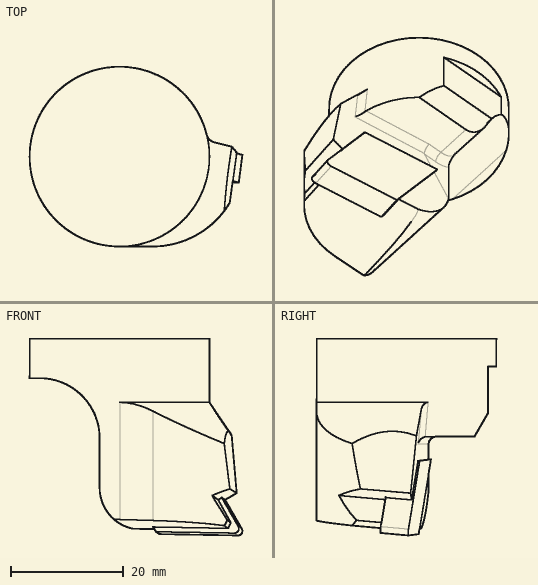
import cadquery as cq
import math

disc_radius = 32.0 / 2
disc_rim_depth = 4.95
reach = 45.45
plane_size = 4 * reach

neck_x = -3.55
neck_arc_radius = 10.6
neck_arc_z = -17.65
heel_z = -26.47
heel_radius = 7.5

block_y = 14.5
block_bottom = -17.42
block_chamfer_y = 2.42
block_chamfer_z = 4.2
block_round_top = -14.77
ledge_fillet = 1.4

head_shift = 5.87
head_back_y = 3.95
cone_top = -11.32
cone_slope = 0.68

tip = (22.45, 0.15, -35.03)
rake_slope_x = 0.13
rake_slope_z = 0.09
rake_plane = cq.Plane(
    origin=tip, xDir=(1, -rake_slope_x, 0), normal=(-rake_slope_x, -1, rake_slope_z)
)
insert_side = 15.5
insert_angle = 58.5
insert_tilt = 1.0
insert_thickness = 5.0
nose_radius = 0.8
insert_stand_out = 0.3

end_face_point = (19.55, -5.68, -22.72)
end_face_slope_y = 0.13
end_face_slope_z = -0.1

sole_offset = 0.87
notch_corner = (-4.4, 6.0)
notch_outer = (-1.4, 7.73)
toe_top = (-2.1, 1.9)
toe_bottom = (-2.55, sole_offset)
notch_overrun = 5


def side_profile():
    """Space to the +X side of the hollow arc, neck flat and heel."""
    arc_x = neck_x - neck_arc_radius
    arc_top = neck_arc_z + neck_arc_radius
    diagonal = math.sqrt(0.5)
    arc_middle = (arc_x + neck_arc_radius * diagonal, neck_arc_z + neck_arc_radius * diagonal)
    heel_x = neck_x + heel_radius
    heel_middle = (heel_x - heel_radius * diagonal, heel_z - heel_radius * diagonal)
    return (
        cq.Workplane("XZ")
        .moveTo(-reach, 0)
        .lineTo(-reach, arc_top)
        .lineTo(arc_x, arc_top)
        .threePointArc(arc_middle, (neck_x, neck_arc_z))
        .lineTo(neck_x, heel_z)
        .threePointArc(heel_middle, (heel_x, heel_z - heel_radius))
        .lineTo(heel_x, -reach)
        .lineTo(reach, -reach)
        .lineTo(reach, 0)
        .close()
        .extrude(reach, both=True)
    )


def make_disc_and_block():
    """Round disc with the stepped, chamfered block below it."""
    outline = (
        cq.Workplane("YZ")
        .polyline([
            (-reach, 0),
            (reach, 0),
            (reach, -disc_rim_depth),
            (block_y, -disc_rim_depth),
            (block_y, block_bottom + block_chamfer_z),
            (block_y - block_chamfer_y, block_bottom),
            (-reach, block_bottom),
        ])
        .close()
        .extrude(reach, both=True)
    )
    round_bar = cq.Workplane("XY").circle(disc_radius).extrude(block_bottom)
    arc_x = neck_x - neck_arc_radius
    tangent_sine = (block_round_top - neck_arc_z) / neck_arc_radius
    tangent_angle = math.asin(tangent_sine)
    start_x = arc_x + neck_arc_radius * math.cos(tangent_angle)
    round_radius = (block_round_top - block_bottom) / (1 - tangent_sine)
    end_x = start_x + round_radius * math.cos(tangent_angle)
    corner = (
        cq.Workplane("XZ")
        .moveTo(start_x, block_round_top)
        .radiusArc((end_x, block_bottom), -round_radius)
        .lineTo(-reach, block_bottom)
        .lineTo(-reach, block_round_top)
        .close()
        .extrude(reach, both=True)
    )
    return round_bar.intersect(outline).cut(corner)


def rake_half_space():
    """Everything on the body side of the back of the head."""
    return (
        cq.Workplane(rake_plane)
        .workplane(offset=insert_stand_out)
        .rect(plane_size, plane_size)
        .extrude(2 * reach)
    )


def end_face_half_space():
    """Everything to the -X side of the inclined end face."""
    normal = (-1, end_face_slope_y, end_face_slope_z)
    plane = cq.Plane(origin=end_face_point, xDir=(0, end_face_slope_z, -end_face_slope_y), normal=normal)
    return cq.Workplane(plane).rect(plane_size, plane_size).extrude(2 * reach)


def make_head():
    """Head: two equal rounds joined by flats, under a cone that widens downward."""
    head = cq.Workplane("XY").circle(disc_radius).extrude(-reach)
    head = head.union(cq.Workplane("XY").center(head_shift, 0).circle(disc_radius).extrude(-reach))
    head = head.union(
        cq.Workplane("XY").center(head_shift / 2, 0).rect(head_shift, 2 * disc_radius).extrude(-reach)
    )
    cone_radius = disc_radius + cone_slope * (reach + cone_top)
    cone = (
        cq.Workplane("XZ")
        .polyline([
            (0, 0),
            (disc_radius, 0),
            (disc_radius, cone_top),
            (cone_radius, -reach),
            (0, -reach),
        ])
        .close()
        .revolve(360, (0, 0), (0, 1))
    )
    front = cq.Workplane("XY").box(2 * reach, reach, 2 * reach)
    front = front.translate((0, head_back_y - reach / 2, 0))
    return head.intersect(cone).intersect(front).intersect(rake_half_space()).intersect(end_face_half_space())


def toe_cut():
    """Sole, toe and notch, all cut straight along the tool frame's depth."""
    rise = math.tan(math.radians(insert_tilt))
    return (
        cq.Workplane(rake_plane)
        .workplane(offset=-reach)
        .polyline([
            (-reach, sole_offset + rise * reach),
            toe_bottom,
            toe_top,
            notch_corner,
            notch_outer,
            (
                notch_corner[0] + notch_overrun * (notch_outer[0] - notch_corner[0]),
                notch_corner[1] + notch_overrun * (notch_outer[1] - notch_corner[1]),
            ),
            (reach, -reach),
            (-reach, -reach),
        ])
        .close()
        .extrude(2 * reach)
    )


def make_insert():
    """Rhombic insert with a rounded nose; its flanks are square to the rake face."""
    low = math.radians(180 - insert_tilt)
    high = math.radians(180 - insert_tilt - insert_angle)
    low_end = (insert_side * math.cos(low), insert_side * math.sin(low))
    high_end = (insert_side * math.cos(high), insert_side * math.sin(high))
    far_end = (low_end[0] + high_end[0], low_end[1] + high_end[1])
    plate = (
        cq.Workplane(rake_plane)
        .polyline([(0, 0), high_end, far_end, low_end])
        .close()
        .extrude(insert_thickness)
    )
    nose = cq.selectors.NearestToPointSelector(tip)
    return plate.edges(cq.selectors.ParallelDirSelector(rake_plane.zDir)).edges(nose).fillet(nose_radius)


def make_holder(insert):
    """Disc, block and head in one piece, with a pocket that fits the insert."""
    profile = side_profile()
    upper = make_disc_and_block().intersect(profile)
    blank = upper.union(make_head())
    chain = cq.selectors.BoxSelector(
        (-disc_radius, 0, block_bottom - ledge_fillet),
        (disc_radius, head_back_y + ledge_fillet, 0),
        boundingbox=True,
    )
    blank = blank.edges(chain).fillet(ledge_fillet)
    return blank.intersect(profile).cut(toe_cut()).cut(insert)


insert = make_insert()
holder = make_holder(insert)
result = cq.Compound.makeCompound([holder.solids().val(), insert.solids().val()])